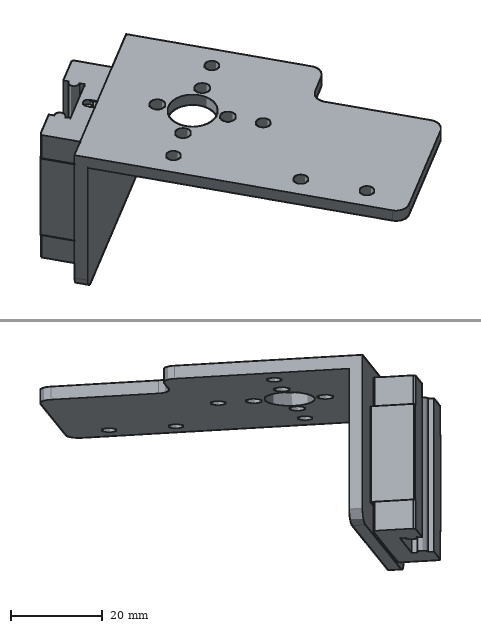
import cadquery as cq


overall_length = 85.0
bracket_width = 43.0
bracket_height = 37.7
plate_thickness = 3.0
corner_radius = 3.0
notch_start = 45.0
notch_width = 11.0

motor_axis_x = 20.9
pilot_diameter = 11.0
inner_hole_diameter = 3.5
inner_hole_offset = 8.0
small_hole_diameter = 3.2
outer_hole_offset = 2 * inner_hole_offset

pair_first_x = motor_axis_x + 29.0
pair_spacing = 15.0
pair_y = -16.5

carriage_depth = 10.0
carriage_height = bracket_height - plate_thickness
block_width = 27.0
block_height = 21.7
block_chamfer = 0.25
cap_width = 26.5
cap_depth = 9.5
cap_chamfer = 0.4
relief_width = 13.35
relief_depth = 0.4

channel_width = 12.1
channel_depth = 4.9
bead_diameter = 2.5
bead_inset = 0.1

port_diameter = 2.3
port_depth = 1.3
port_slot_depth = 0.3
port_to_leg = 2.7

bracket_length = overall_length - carriage_depth
half_width = bracket_width / 2
carriage_face_x = -carriage_depth
block_bottom = (carriage_height - block_height) / 2


def box_between(x_start, x_end, width, z_start, z_end):
    """Box centred on Y = 0 between two X places and two Z heights."""
    return (
        cq.Workplane("XY", origin=((x_start + x_end) / 2, 0, z_start))
        .box(x_end - x_start, width, z_end - z_start, centered=(True, True, False))
    )


def make_top_plate():
    """Horizontal leg with its notched corner and rounded free end."""
    outline = [
        (0, -half_width),
        (bracket_length, -half_width),
        (bracket_length, half_width - notch_width),
        (notch_start, half_width - notch_width),
        (notch_start, half_width),
        (0, half_width),
    ]
    plate = (
        cq.Workplane("XY", origin=(0, 0, bracket_height - plate_thickness))
        .polyline(outline)
        .close()
        .extrude(plate_thickness)
    )
    free_corners = cq.selectors.BoxSelector(
        (plate_thickness, -bracket_width, 0),
        (overall_length, bracket_width, 2 * bracket_height),
    )
    return plate.edges("|Z").edges(free_corners).fillet(corner_radius)


def make_upright_leg():
    """Vertical leg with rounded lower corners."""
    leg = box_between(0, plate_thickness, bracket_width, 0, bracket_height)
    return leg.edges("|X and <Z").fillet(corner_radius)


def drill_top_plate(bracket):
    """Motor pilot hole, the screw holes around it and the far pair."""
    inner = inner_hole_offset
    outer = outer_hole_offset
    x = motor_axis_x
    hole_groups = [
        (pilot_diameter, [(x, 0)]),
        (inner_hole_diameter, [(x - inner, 0), (x + inner, 0), (x, -inner), (x, inner)]),
        (small_hole_diameter, [(x + outer, 0), (x, -outer), (x, outer)]),
        (small_hole_diameter, [(pair_first_x, pair_y), (pair_first_x + pair_spacing, pair_y)]),
    ]
    for diameter, centers in hole_groups:
        drills = (
            cq.Workplane("XY", origin=(0, 0, bracket_height - plate_thickness))
            .pushPoints(centers)
            .circle(diameter / 2)
            .extrude(plate_thickness)
        )
        bracket = bracket.cut(drills)
    return bracket


def make_carriage_body():
    """End caps in one bar, with the wider steel block around its middle."""
    caps = box_between(carriage_face_x, carriage_face_x + cap_depth, cap_width, 0, carriage_height)
    caps = caps.edges("|Z").chamfer(cap_chamfer)
    block = box_between(carriage_face_x, 0, block_width, block_bottom, block_bottom + block_height)
    block = block.edges("|Z").chamfer(block_chamfer)
    relief = box_between(-relief_depth, 0, relief_width, 0, carriage_height)
    return caps.union(block).cut(relief)


def cut_rail_channel(carriage):
    """Full-height rail channel, then a round bead along each wall."""
    channel = box_between(
        carriage_face_x, carriage_face_x + channel_depth, channel_width, 0, carriage_height
    )
    bead_x = carriage_face_x + channel_depth / 2
    bead_y = channel_width / 2 - bead_inset
    beads = (
        cq.Workplane("XY")
        .pushPoints([(bead_x, -bead_y), (bead_x, bead_y)])
        .circle(bead_diameter / 2)
        .extrude(carriage_height)
    )
    return carriage.cut(channel).union(beads)


def cut_grease_port(carriage):
    """Blind port with a shallow slot running back towards the leg."""
    port = (
        cq.Workplane("XY", origin=(-port_to_leg, 0, carriage_height - port_depth))
        .circle(port_diameter / 2)
        .extrude(port_depth)
    )
    slot = box_between(
        -port_to_leg, 0, port_diameter, carriage_height - port_slot_depth, carriage_height
    )
    return carriage.cut(port).cut(slot)


bracket = drill_top_plate(make_top_plate().union(make_upright_leg()))
carriage = cut_grease_port(cut_rail_channel(make_carriage_body()))
result = bracket.union(carriage)